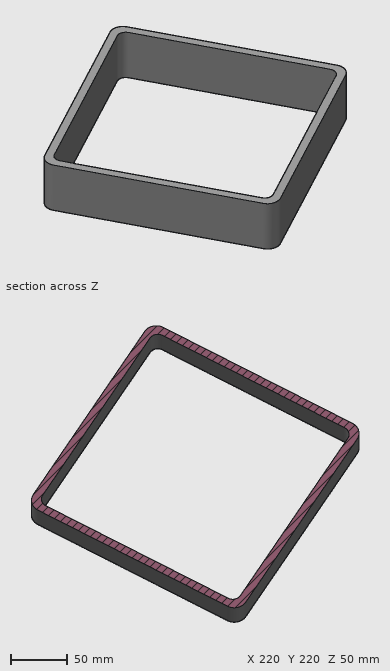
import cadquery as cq

side = 220.0
height = 50.0
wall = 8.0
outer_radius = 12.0
inner_radius = 8.0
opening = side - 2 * wall


def rounded_square_prism(width, corner_radius):
    """Upright square block, centred on the origin, with rounded vertical edges."""
    return cq.Workplane("XY").box(width, width, height).edges("|Z").fillet(corner_radius)


result = rounded_square_prism(side, outer_radius).cut(rounded_square_prism(opening, inner_radius))